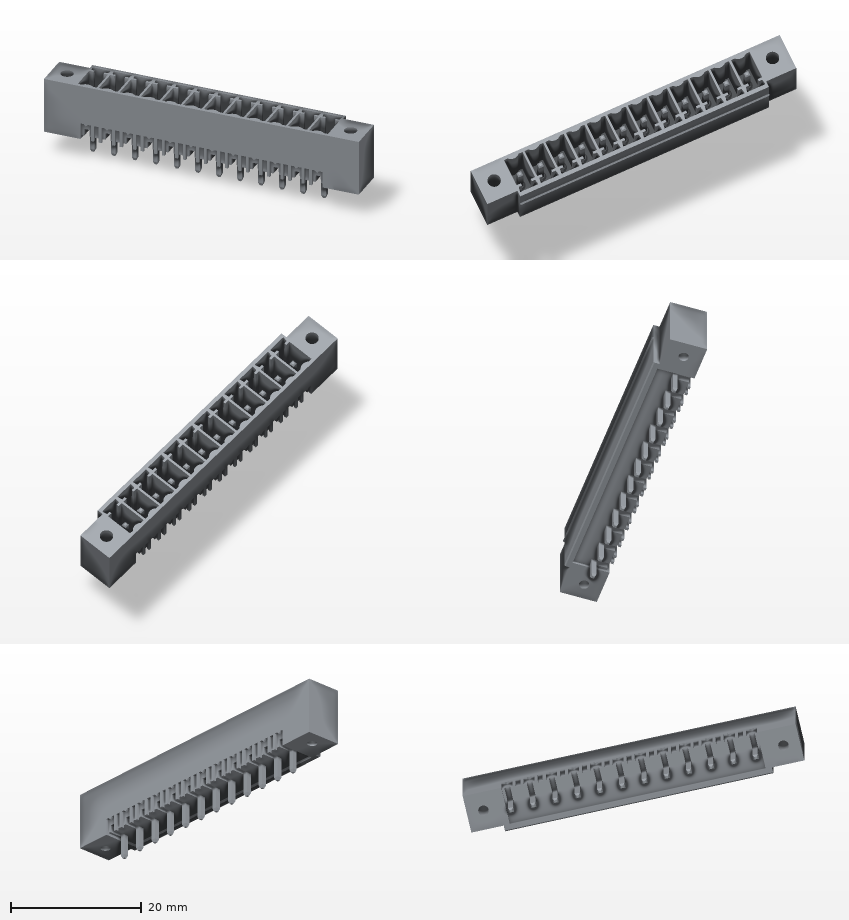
import cadquery as cq


contact_count = 12
pitch = 3.5
contact_y = 2.95
contact_xs = [(i - (contact_count - 1) / 2) * pitch for i in range(contact_count)]

length = 52.4
height = 9.2
flange_depth = 6.0
housing_depth = 7.0
housing_length = 42.2
rear_edge_chamfer = 0.2

ridge_projection = 0.25
ridge_height = 0.4
ridge_z = 6.0

cavity_floor_z = 2.0
cavity_width = 3.03
cavity_draft = 0.4
cavity_front_y = 0.62
lip_front_y = 5.05
lip_rear_y = 5.55
cavity_rear_y = 6.3
keyway_width = 1.55
dovetail_lip_width = 2.7
dovetail_rear_width = 2.95
bump_width = 1.9
bump_rise = 0.4

pin_size = 0.8
pin_tail = 3.4
pin_tail_chamfer = 0.5
pin_tail_chamfer_side = 0.2
pin_top_z = 7.2
pin_top_chamfer = 0.2
collar_base_diameter = 1.8
collar_top_diameter = 1.3
collar_height = 0.4

comb_height = 2.7
comb_depth = 0.45
contact_slot_width = 1.75
spacer_slot_width = 0.8
tooth_width = 0.7
tooth_height = 0.35
underside_recess_height = 0.45
underside_recess_rear_y = 6.0
pin_window_top_width = pin_size
pin_window_bottom_width = 0.95
pin_window_height = 1.6

insert_diameter = 4.0
insert_spacing = 47.2
insert_bore_diameter = 2.05
insert_pilot_diameter = 1.6
insert_pilot_length = 2.0


def box(x_center, x_size, y_min, y_max, z_min, z_max):
    """Axis-aligned block centred on x_center."""
    return cq.Workplane("XY").box(
        x_size, y_max - y_min, z_max - z_min, centered=(True, False, False)
    ).translate((x_center, y_min, z_min))


def make_housing():
    """Long block with a deeper middle part and a chamfered lower rear edge."""
    middle = box(0, housing_length, 0, housing_depth, 0, height)
    middle = middle.edges(">Y and <Z").chamfer(rear_edge_chamfer)
    return box(0, length, 0, flange_depth, 0, height).union(middle)


def make_ridge():
    """Triangular ridge along the rear wall."""
    half = ridge_height / 2
    return (
        cq.Workplane("YZ")
        .moveTo(housing_depth, ridge_z - half)
        .lineTo(housing_depth + ridge_projection, ridge_z)
        .lineTo(housing_depth, ridge_z + half)
        .close()
        .extrude(housing_length / 2, both=True)
    )


def make_cavity(x):
    """Drafted plug cavity: wide chamber, narrow keyway and a dovetail groove behind it."""
    half = cavity_width / 2
    key = keyway_width / 2
    lip = dovetail_lip_width / 2
    rear = dovetail_rear_width / 2
    bump = bump_width / 2
    return (
        cq.Workplane("XY", origin=(x, 0, cavity_floor_z))
        .moveTo(-half, cavity_front_y)
        .lineTo(-bump, cavity_front_y)
        .threePointArc((0, cavity_front_y + bump_rise), (bump, cavity_front_y))
        .lineTo(half, cavity_front_y)
        .lineTo(half, lip_front_y)
        .lineTo(key, lip_front_y)
        .lineTo(key, lip_rear_y)
        .lineTo(lip, lip_rear_y)
        .lineTo(rear, cavity_rear_y)
        .lineTo(-rear, cavity_rear_y)
        .lineTo(-lip, lip_rear_y)
        .lineTo(-key, lip_rear_y)
        .lineTo(-key, lip_front_y)
        .lineTo(-half, lip_front_y)
        .close()
        .extrude(height - cavity_floor_z, taper=-cavity_draft)
    )


def make_contact_slot(x):
    """Front slot below a cavity, with a V tooth at its top and a tapered window to the pin."""
    tooth = (
        cq.Workplane("XZ", origin=(x, 0, comb_height))
        .moveTo(-tooth_width / 2, 0)
        .lineTo(0, -tooth_height)
        .lineTo(tooth_width / 2, 0)
        .close()
        .extrude(-comb_depth)
    )
    slot = box(x, contact_slot_width, 0, comb_depth, 0, comb_height).cut(tooth)
    bottom = pin_window_bottom_width / 2
    top = pin_window_top_width / 2
    window = (
        cq.Workplane("XZ", origin=(x, comb_depth, 0))
        .moveTo(-bottom, 0)
        .lineTo(-top, pin_window_height)
        .lineTo(top, pin_window_height)
        .lineTo(bottom, 0)
        .close()
        .extrude(comb_depth - contact_y)
    )
    return slot.union(window)


def make_underside_recess():
    """Shallow recess under the housing, spanning all the contact slots."""
    recess_length = contact_xs[-1] - contact_xs[0] + contact_slot_width
    return box(0, recess_length, comb_depth, underside_recess_rear_y, 0, underside_recess_height)


def square_taper(x, z, start_size, end_size, rise):
    """Square frustum on the contact axis, from start_size at z to end_size at z + rise."""
    return (
        cq.Workplane("XY", origin=(x, contact_y, z))
        .rect(start_size, start_size)
        .workplane(offset=rise)
        .rect(end_size, end_size)
        .loft()
    )


def make_contact(x):
    """Square pin with tapered ends and a conical collar on the cavity floor."""
    tail_tip_size = pin_size - 2 * pin_tail_chamfer_side
    top_tip_size = pin_size - 2 * pin_top_chamfer
    shaft_bottom_z = pin_tail_chamfer - pin_tail
    shaft_top_z = pin_top_z - pin_top_chamfer
    half = pin_size / 2
    shaft = box(x, pin_size, contact_y - half, contact_y + half, shaft_bottom_z, shaft_top_z)
    tail = square_taper(x, shaft_bottom_z, pin_size, tail_tip_size, -pin_tail_chamfer)
    tip = square_taper(x, shaft_top_z, pin_size, top_tip_size, pin_top_chamfer)
    collar = (
        cq.Workplane("XY", origin=(x, contact_y, cavity_floor_z))
        .circle(collar_base_diameter / 2)
        .workplane(offset=collar_height)
        .circle(collar_top_diameter / 2)
        .loft()
    )
    return shaft.union(tail).union(tip).union(collar)


def cylinder(x, diameter, z_min, z_max):
    """Upright cylinder on the contact row's centre line."""
    base = cq.Workplane("XY", origin=(x, contact_y, z_min))
    return base.circle(diameter / 2).extrude(z_max - z_min)


def make_insert(x):
    """Flush insert: wide bore from the top, narrower pilot hole at the bottom."""
    return (
        cylinder(x, insert_diameter, 0, height)
        .cut(cylinder(x, insert_bore_diameter, insert_pilot_length, height))
        .cut(cylinder(x, insert_pilot_diameter, 0, insert_pilot_length))
    )


part = make_housing().union(make_ridge())
part = part.cut(make_underside_recess())

for contact_x in contact_xs:
    part = part.cut(make_cavity(contact_x))
    part = part.cut(make_contact_slot(contact_x))

for left_x in contact_xs[:-1]:
    spacer_x = left_x + pitch / 2
    part = part.cut(box(spacer_x, spacer_slot_width, 0, comb_depth, 0, comb_height))

for contact_x in contact_xs:
    part = part.union(make_contact(contact_x))

for insert_x in (-insert_spacing / 2, insert_spacing / 2):
    part = part.cut(cylinder(insert_x, insert_diameter, 0, height), clean=False)
    part = part.union(make_insert(insert_x), clean=False)

result = part